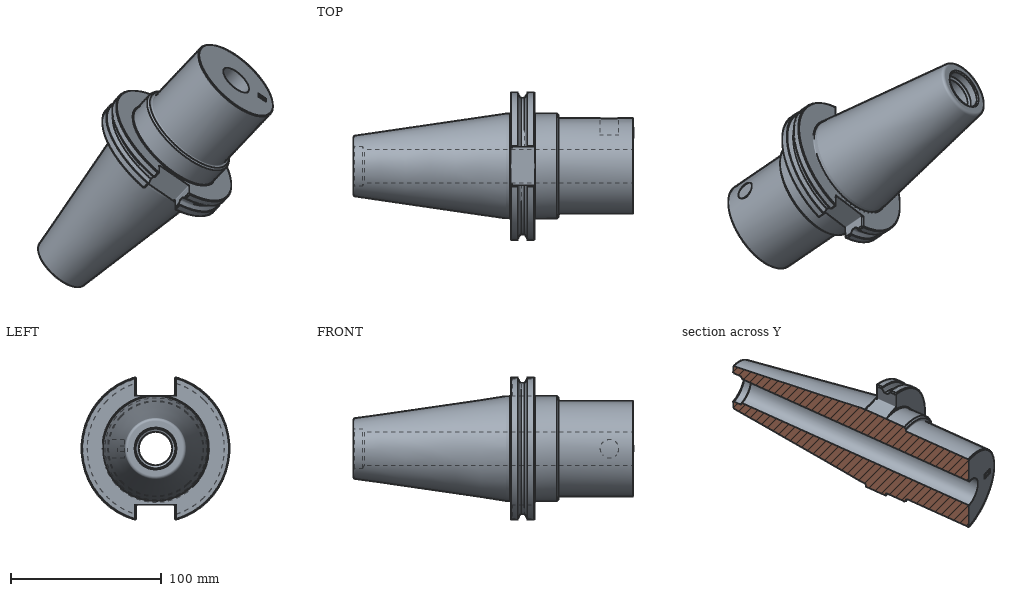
import cadquery as cq
import math

taper_length = 101.5
flange_start = 104.7
flange_width = 15.9
flange_end = flange_start + flange_width
flange_middle = flange_start + flange_width / 2
collar_end = 136.5
nose_end = 186.2
overall_length = 186.6

gauge_radius = 34.9
taper_slope = 7 / 48
small_end_radius = gauge_radius - taper_slope * taper_length
collar_radius = 35.0
flange_radius = 49.3
nose_radius = 32.0

small_end_fillet = 2.0
flange_chamfer = 0.5
root_fillet = 0.5
collar_chamfer = 1.3
nose_chamfer = 0.5

groove_floor_radius = 45.5
groove_floor_width = 3.0
groove_mouth_width = 6.3
groove_floor_fillet = 1.0
groove_wall_angle = math.radians(60)
groove_slant_height = (groove_mouth_width - groove_floor_width) / 2 * math.tan(groove_wall_angle)
groove_slant_radius = groove_floor_radius + groove_slant_height

slot_width = 25.4
upper_slot_floor = 35.0
lower_slot_floor = 37.5
slot_chamfer = 1.0
slot_corner_radius = 0.5

cutter_radius = flange_radius + 1.9

bore_radius = 11.0
counterbore_radius = 13.0
counterbore_depth = 6.2
counterbore_chamfer = 1.0
cone_length = 1.1

screw_radius = 6.2
screw_x = 170.2
screw_hole_depth = 11.2
screw_floor_y = nose_radius - screw_hole_depth
screw_top_y = 31.7

pad_length = 6.7
pad_width = 3.4
pad_y = 22.0


def axial_cylinder(start, end, radius):
    """Cylinder along the X axis."""
    return cq.Workplane("YZ", origin=(start, 0, 0)).circle(radius).extrude(end - start)


def turned(outline):
    """Solid of revolution about the X axis from a closed outline of (x, radius) points."""
    return cq.Workplane("XY").polyline(outline).close().revolve(360, (0, 0, 0), (1, 0, 0))


def make_root_fillet(face_x, direction, radius):
    """Ring that rounds the corner between a face and a cylinder leaving it toward +X (1) or -X (-1)."""
    inner_radius = radius - root_fillet
    end_x = face_x + direction * root_fillet
    arc_inset = root_fillet * (1 - math.sqrt(0.5))
    return (
        cq.Workplane("XY")
        .moveTo(face_x, inner_radius)
        .lineTo(face_x, radius + root_fillet)
        .threePointArc((face_x + direction * arc_inset, radius + arc_inset), (end_x, radius))
        .lineTo(end_x, inner_radius)
        .close()
        .revolve(360, (0, 0, 0), (1, 0, 0))
    )


def make_taper():
    """Cone with a rounded small end, and the short cylinder that joins it to the flange."""
    cone = turned([
        (0, 0),
        (0, small_end_radius),
        (taper_length, gauge_radius),
        (taper_length, 0),
    ])
    cone = cone.faces("<X").edges().fillet(small_end_fillet)
    return cone.union(axial_cylinder(taper_length, flange_start, gauge_radius))


def make_groove():
    """Ring that cuts the V groove around the flange."""
    half_floor = groove_floor_width / 2
    half_mouth = groove_mouth_width / 2
    ring = turned([
        (flange_middle - half_floor, groove_floor_radius),
        (flange_middle - half_mouth, groove_slant_radius),
        (flange_middle - half_mouth, cutter_radius),
        (flange_middle + half_mouth, cutter_radius),
        (flange_middle + half_mouth, groove_slant_radius),
        (flange_middle + half_floor, groove_floor_radius),
    ])
    return ring.edges(cq.selectors.RadiusNthSelector(0)).fillet(groove_floor_fillet)


def make_slot(floor, side):
    """Cutter for one drive slot; side is +1 for the top and -1 for the bottom."""
    height = cutter_radius - floor
    middle_z = side * (floor + height / 2)
    channel = (
        cq.Workplane("XY")
        .box(flange_width + 2 * root_fillet, slot_width, height)
        .translate((flange_middle, 0, middle_z))
    )
    floor_face = "<Z" if side > 0 else ">Z"
    channel = channel.faces(floor_face).edges("|X").fillet(slot_corner_radius)

    half_slot = slot_width / 2
    half_mouth = half_slot + slot_chamfer
    bevel_end = flange_start + slot_chamfer
    face_bevel = (
        cq.Workplane("XY", origin=(0, 0, middle_z))
        .polyline([
            (flange_start, -half_mouth),
            (flange_start, half_mouth),
            (bevel_end, half_slot),
            (bevel_end, -half_slot),
        ])
        .close()
        .extrude(height / 2, both=True)
    )

    rim_height = math.sqrt(flange_radius**2 - half_mouth**2)
    rim_bevel = (
        cq.Workplane("YZ", origin=(flange_start, 0, 0))
        .polyline([
            (-half_slot, side * (rim_height - slot_chamfer)),
            (-half_mouth, side * rim_height),
            (-half_mouth, side * cutter_radius),
            (half_mouth, side * cutter_radius),
            (half_mouth, side * rim_height),
            (half_slot, side * (rim_height - slot_chamfer)),
        ])
        .close()
        .extrude(flange_width)
    )
    return channel.union(face_bevel).union(rim_bevel)


def make_flange_and_collar():
    """Grooved flange and collar with rounded roots, cut by the two drive slots."""
    flange = axial_cylinder(flange_start, flange_end, flange_radius).edges().chamfer(flange_chamfer)
    collar = axial_cylinder(flange_end, collar_end, collar_radius)
    collar = collar.faces(">X").edges().chamfer(collar_chamfer)
    body = (
        flange.cut(make_groove())
        .union(collar)
        .union(make_root_fillet(flange_start, -1, gauge_radius))
        .union(make_root_fillet(flange_end, 1, collar_radius))
    )
    return body.cut(make_slot(upper_slot_floor, 1)).cut(make_slot(lower_slot_floor, -1))


def make_nose():
    """Cylindrical nose with a rounded root and a raised pad on its end face."""
    nose = axial_cylinder(collar_end, nose_end, nose_radius).faces(">X").edges().chamfer(nose_chamfer)
    pad = (
        cq.Workplane("YZ", origin=(nose_end, pad_y, 0))
        .rect(pad_length, pad_width)
        .extrude(overall_length - nose_end)
    )
    return nose.union(make_root_fillet(collar_end, 1, nose_radius)).union(pad)


def make_bore():
    """Through bore with a chamfered counterbore and a conical step at the small end."""
    return turned([
        (0, 0),
        (0, counterbore_radius + counterbore_chamfer),
        (counterbore_chamfer, counterbore_radius),
        (counterbore_depth, counterbore_radius),
        (counterbore_depth + cone_length, bore_radius),
        (nose_end, bore_radius),
        (nose_end, 0),
    ])


def make_radial_cylinder(outer_y):
    """Cylinder along the Y axis, from the floor of the screw hole out to outer_y."""
    return (
        cq.Workplane("XZ", origin=(screw_x, outer_y, 0))
        .circle(screw_radius)
        .extrude(outer_y - screw_floor_y)
    )


def make_holder():
    """Tool holder: taper, flange, collar and nose, with the bore and the screw hole."""
    holder = make_taper().union(make_flange_and_collar()).union(make_nose())
    return holder.cut(make_bore()).cut(make_radial_cylinder(nose_radius))


def make_screw():
    """Clamping screw that fills its hole almost to the surface of the nose."""
    return make_radial_cylinder(screw_top_y)


holder = make_holder().solids()
screw = make_screw()
result = cq.Compound.makeCompound([holder.val(), screw.val()])